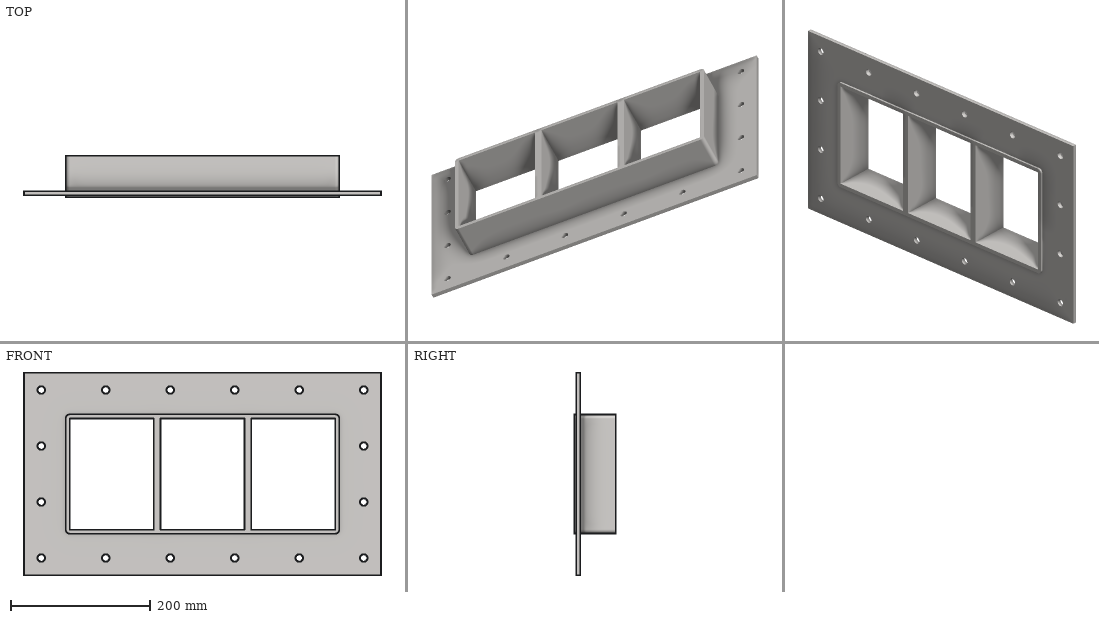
import cadquery as cq

plate_width = 513.5
plate_height = 291.5
plate_thickness = 6.0

frame_depth = 60.0
frame_front_lip = 3.0
frame_margin = 60.0
frame_wall = 6.0
frame_corner_radius = 6.0
frame_width = plate_width - 2 * frame_margin
frame_height = plate_height - 2 * frame_margin

window_count = 3
divider_thickness = 10.0
opening_width = frame_width - 2 * frame_wall
window_width = (opening_width - (window_count - 1) * divider_thickness) / window_count
window_height = frame_height - 2 * frame_wall
window_pitch = window_width + divider_thickness

bolt_diameter = 10.5
bolt_edge_distance = 25.0
bolt_columns = 6
bolt_rows = 4
bolt_pitch_x = (plate_width - 2 * bolt_edge_distance) / (bolt_columns - 1)
bolt_pitch_z = (plate_height - 2 * bolt_edge_distance) / (bolt_rows - 1)

frame_front = 0.0
plate_front = frame_front + frame_front_lip


def section_plane(y):
    """XZ sketch plane at the given Y; positive extrusion runs toward -Y."""
    return cq.Workplane("XZ", origin=(0, y, 0))


def make_plate():
    return section_plane(plate_front).rect(plate_width, plate_height).extrude(-plate_thickness)


def make_frame_block():
    block = section_plane(frame_front).rect(frame_width, frame_height).extrude(-frame_depth)
    return block.edges("|Y").fillet(frame_corner_radius)


def make_windows():
    return (
        section_plane(frame_front)
        .rarray(window_pitch, 1, window_count, 1)
        .rect(window_width, window_height)
        .extrude(-frame_depth)
    )


def bolt_positions():
    """Grid points on the outermost rows and columns only."""
    points = []
    for column in range(bolt_columns):
        for row in range(bolt_rows):
            if column in (0, bolt_columns - 1) or row in (0, bolt_rows - 1):
                x = (column - (bolt_columns - 1) / 2) * bolt_pitch_x
                z = (row - (bolt_rows - 1) / 2) * bolt_pitch_z
                points.append((x, z))
    return points


def make_bolt_holes():
    return (
        section_plane(plate_front)
        .pushPoints(bolt_positions())
        .circle(bolt_diameter / 2)
        .extrude(-plate_thickness)
    )


result = make_plate().union(make_frame_block()).cut(make_windows()).cut(make_bolt_holes())